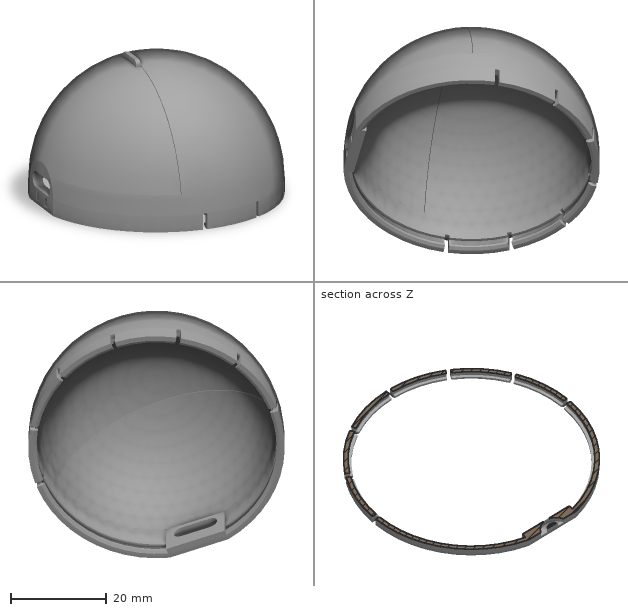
import cadquery as cq
import math

outer_radius = 26.9
inner_radius = 25.15
base_height = 3.5
flat_y = -26.1
flat_half_width = math.sqrt(outer_radius**2 - flat_y**2)
far_limit = 2 * outer_radius

split_y = -5.0
split_gap = 0.1
lid_bottom = 8.05
lid_back_y = split_y - split_gap

tab_length = 7.4
tab_thickness = 1.0
tab_top = 30.9
tab_root = 28.5
tab_fillet = 1.0

groove_radius = 25.8
groove_bottom = 0.9
groove_top = 2.75
lip_radius = inner_radius
lip_chamfer_height = 0.45

slit_width = 0.95
slit_spacing = 30
slit_overrun = 0.55
slit_angles = range(0, 180 + slit_spacing, slit_spacing)

pad_back_y = -23.9
pad_top = lid_bottom

opening_length = 9.7
opening_height = 3.5
opening_bottom = base_height
opening_depth = 5.4

mouth_inner_x = 1.5
mouth_outer_x = 3.05
tunnel_bottom = 0.75
tunnel_top = 2.75
tunnel_axis_setback = 1.3


def box_between(x_range, y_range, z_range):
    """Axis-aligned box given by its limits along X, Y and Z."""
    size = [high - low for low, high in (x_range, y_range, z_range)]
    corner = (x_range[0], y_range[0], z_range[0])
    return cq.Workplane("XY").box(*size, centered=False).translate(corner)


def front_half_space():
    """Everything in front of the flat face."""
    return box_between((-far_limit, far_limit), (-far_limit, flat_y), (-far_limit, far_limit))


def dome_shell():
    """Hollow half sphere standing on the height of the base wall."""
    diagonal = math.sqrt(0.5)
    shell = (
        cq.Workplane("XZ")
        .moveTo(inner_radius, base_height)
        .lineTo(outer_radius, base_height)
        .threePointArc(
            (outer_radius * diagonal, base_height + outer_radius * diagonal),
            (0, base_height + outer_radius),
        )
        .lineTo(0, base_height + inner_radius)
        .threePointArc(
            (inner_radius * diagonal, base_height + inner_radius * diagonal),
            (inner_radius, base_height),
        )
        .close()
        .revolve(360, (0, 0, 0), (0, 1, 0))
    )
    return shell.cut(front_half_space())


def lid_zone(back_y):
    """Block in front of back_y and above the lid's bottom edge."""
    return box_between((-far_limit, far_limit), (-far_limit, back_y), (lid_bottom, far_limit))


def base_wall():
    """Base ring with an inner groove and a chamfered snap lip."""
    ring = (
        cq.Workplane("XZ")
        .polyline([
            (outer_radius, 0),
            (outer_radius, base_height),
            (inner_radius, base_height),
            (inner_radius, groove_top),
            (groove_radius, groove_top),
            (groove_radius, groove_bottom),
            (lip_radius, groove_bottom),
            (lip_radius, lip_chamfer_height),
            (groove_radius, 0),
        ])
        .close()
        .revolve(360, (0, 0, 0), (0, 1, 0))
    )
    return ring.cut(front_half_space())


def front_pad():
    """Solid block behind the flat face, trimmed to the outside of the base wall and dome."""
    block = box_between(
        (-flat_half_width, flat_half_width), (flat_y, pad_back_y), (0, pad_top)
    )
    envelope = (
        cq.Workplane("XY")
        .circle(outer_radius)
        .extrude(base_height)
        .union(cq.Workplane("XY").sphere(outer_radius).translate((0, 0, base_height)))
    )
    return block.intersect(envelope)


def snap_slit(angle):
    """Radial slit through the base wall at the given angle from +X."""
    return box_between(
        (inner_radius - slit_overrun, outer_radius + slit_overrun),
        (-slit_width / 2, slit_width / 2),
        (0, base_height),
    ).rotate((0, 0, 0), (0, 0, 1), angle)


def stadium_opening():
    """Round-ended opening through the front wall."""
    return (
        cq.Workplane("XZ", origin=(0, flat_y, opening_bottom + opening_height / 2))
        .slot2D(opening_length, opening_height)
        .extrude(-opening_depth)
    )


def cord_tunnel():
    """Ring-shaped tunnel that enters and leaves through the flat face."""
    return (
        cq.Workplane("XY", origin=(0, flat_y - tunnel_axis_setback, tunnel_bottom))
        .circle(math.hypot(mouth_outer_x, tunnel_axis_setback))
        .circle(math.hypot(mouth_inner_x, tunnel_axis_setback))
        .extrude(tunnel_top - tunnel_bottom)
    )


def make_housing():
    """Base wall, pad and dome, open at the front where the lid sits."""
    body = dome_shell().cut(lid_zone(split_y)).union(base_wall()).union(front_pad())
    for angle in slit_angles:
        body = body.cut(snap_slit(angle))
    return body.cut(stadium_opening()).cut(cord_tunnel())


def make_lid():
    """Front part of the dome with a round-ended finger tab on its rear edge."""
    tab = box_between(
        (-tab_length / 2, tab_length / 2),
        (lid_back_y - tab_thickness, lid_back_y),
        (tab_root, tab_top),
    ).edges("|Y and >Z").fillet(tab_fillet)
    return dome_shell().intersect(lid_zone(lid_back_y)).union(tab)


housing = make_housing()
lid = make_lid()

result = cq.Compound.makeCompound([housing.solids().val(), lid.solids().val()])